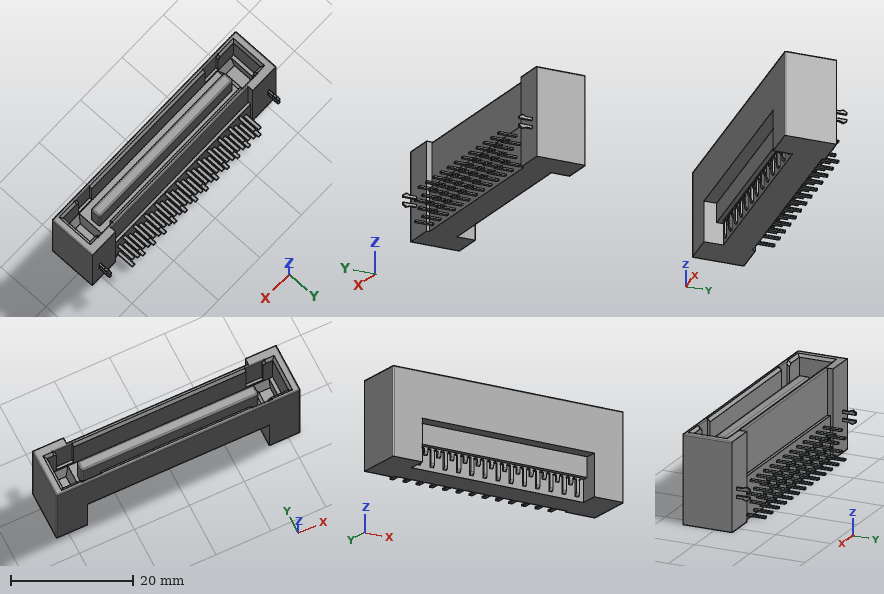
import cadquery as cq

LENGTH = 44.35
DEPTH = 9.0
HEIGHT = 15.8
EDGE_FILLET = 0.2
HALF_LENGTH = LENGTH / 2

CAVITY_END_WALL = 1.65
CAVITY_FRONT = 1.0
CAVITY_REAR = 7.0
CAVITY_FLOOR = 9.2
MOUTH_LEAD_IN = 0.5
CAVITY_HALF_LENGTH = HALF_LENGTH - CAVITY_END_WALL

LUG_LENGTH = 5.65
REAR_BLOCK_BACK = 8.5
REAR_WALL_BACK = 8.0
REAR_LEDGE = 7.6
SPAN = LENGTH - 2 * LUG_LENGTH

NOTCH_TOP = 7.6
NOTCH_DEPTH = 2.2
STEP_TOP = 4.0
STEP_DEPTH = 3.35

KEY_FLOOR = 9.65
KEY_LENGTH = 3.1
KEY_DEPTH = MOUTH_LEAD_IN
KEY_RIM_FILLET = 0.15
KEY_TAPER = 0.5
REAR_KEY_OUTER = 18.8
FRONT_KEY_OUTER = 16.8

POCKET_OUTER = 19.85
POCKET_INNER = 16.7
POCKET_DEPTH = 1.35
POCKET_BASE_OUTER = 19.6
POCKET_BASE_INNER = 17.55
POCKET_BASE_FRONT = 2.1
POCKET_BASE_REAR = 6.0

TONGUE_LENGTH = 32.2
TONGUE_FRONT = 3.05
TONGUE_REAR = 5.0
TONGUE_TOP = 13.95
TONGUE_FILLET = 0.3

LONG_COLUMNS = 13
COLUMNS = 2 * LONG_COLUMNS - 1
PIN_SPAN = 30.45
COLUMN_PITCH = PIN_SPAN / (COLUMNS - 1)
PIN_WIDTH = 0.6
PIN_THICKNESS = 0.25
PIN_TIP = 11.8
PIN_FRONT = 3.0
PIN_BEND = 0.65
ROW_PITCH = 1.85
FIRST_ROW = 0.65
SHOULDER_WIDTH = 1.0
SHOULDER_HEIGHT = 0.3

CLIP_X = 20.35
CLIP_WIDTH = 0.4
CLIP_AXIS = 6.4
CLIP_LENGTH = 2.4
CLIP_BUMP_START = 1.1
CLIP_BUMP_PEAK = 1.8
CLIP_HALF_GAP = 0.5
CLIP_HALF_HEIGHT = 0.95
CLIP_HALF_BUMP = 1.2
CLIP_HALF_TIP = 0.8

EMBED = 0.45


def block(x0, x1, y0, y1, z0, z1):
    return cq.Workplane("XY").box(x1 - x0, y1 - y0, z1 - z0, centered=False).translate((x0, y0, z0))


def centred_block(length, y0, y1, z0, z1):
    return block(-length / 2, length / 2, y0, y1, z0, z1)


def both_ends(shape):
    return shape.union(shape.mirror("YZ"))


def loft(first, second):
    """Solid with straight sides between two closed outlines of (x, y, z) points."""
    wires = [cq.Wire.makePolygon([cq.Vector(*p) for p in outline], close=True) for outline in (first, second)]
    return cq.Workplane(cq.Solid.makeLoft(wires, True))


def level_rectangle(x0, x1, y0, y1, z):
    return [(x0, y0, z), (x1, y0, z), (x1, y1, z), (x0, y1, z)]


def housing_shell():
    body = centred_block(LENGTH, 0, DEPTH, 0, HEIGHT)
    body = body.faces("<Y").edges("|Z").fillet(EDGE_FILLET)
    return body.faces(">Z").edges("not >Y").fillet(EDGE_FILLET)


def cavity():
    pit = centred_block(2 * CAVITY_HALF_LENGTH, CAVITY_FRONT, CAVITY_REAR, CAVITY_FLOOR, HEIGHT)
    inner = level_rectangle(-CAVITY_HALF_LENGTH, CAVITY_HALF_LENGTH, CAVITY_FRONT, CAVITY_REAR,
                            HEIGHT - MOUTH_LEAD_IN)
    outer = level_rectangle(-CAVITY_HALF_LENGTH - MOUTH_LEAD_IN, CAVITY_HALF_LENGTH + MOUTH_LEAD_IN,
                            CAVITY_FRONT - MOUTH_LEAD_IN, CAVITY_REAR + MOUTH_LEAD_IN, HEIGHT)
    return pit.union(loft(inner, outer))


def key_taper(outer, wall, deep):
    """Triangular prism that breaks the outer top corner of a recess, rising at the slope of the mouth."""
    def triangle(y, top):
        return [(outer, y, top - KEY_TAPER), (outer + KEY_TAPER, y, top), (outer, y, top)]

    return loft(triangle(wall, HEIGHT - MOUTH_LEAD_IN), triangle(deep, HEIGHT))


def key_recess(outer, wall, outward):
    """Recess in a long wall with a rounded top rim; outward is the Y sign pointing into the wall."""
    deep = wall + outward * KEY_DEPTH
    rim = deep + outward * KEY_RIM_FILLET
    ys = sorted((wall, deep))
    recess = block(outer - KEY_LENGTH, outer, ys[0], ys[1], KEY_FLOOR, HEIGHT)
    rounded_rim = (
        cq.Workplane("YZ", origin=(outer - KEY_LENGTH, 0, 0))
        .moveTo(deep, HEIGHT - KEY_RIM_FILLET)
        .radiusArc((rim, HEIGHT), outward * KEY_RIM_FILLET)
        .lineTo(wall, HEIGHT)
        .close()
        .extrude(KEY_LENGTH + KEY_TAPER)
    )
    return recess.union(rounded_rim).union(key_taper(outer, wall, deep))


def floor_pocket():
    base = level_rectangle(POCKET_BASE_INNER, POCKET_BASE_OUTER, POCKET_BASE_FRONT, POCKET_BASE_REAR,
                           CAVITY_FLOOR - POCKET_DEPTH)
    rim = level_rectangle(POCKET_INNER, POCKET_OUTER, CAVITY_FRONT, CAVITY_REAR, CAVITY_FLOOR)
    return loft(base, rim)


def rear_relief():
    relief = centred_block(SPAN, REAR_BLOCK_BACK, DEPTH, 0, HEIGHT)
    return relief.union(centred_block(SPAN, REAR_WALL_BACK, DEPTH, REAR_LEDGE, HEIGHT))


def front_notch():
    notch = centred_block(SPAN, 0, NOTCH_DEPTH, 0, NOTCH_TOP)
    return notch.union(centred_block(SPAN, 0, STEP_DEPTH, 0, STEP_TOP))


def tongue():
    blade = centred_block(TONGUE_LENGTH, TONGUE_FRONT, TONGUE_REAR, CAVITY_FLOOR - EMBED, TONGUE_TOP)
    return blade.edges("|Z or >Z").fillet(TONGUE_FILLET)


def bent_pin(x, row):
    """Front leg dropping from the overhang, bent back through the block."""
    z0 = FIRST_ROW + row * ROW_PITCH
    profile = (
        cq.Workplane("YZ", origin=(x - PIN_WIDTH / 2, 0, 0))
        .moveTo(PIN_FRONT, STEP_TOP)
        .lineTo(PIN_FRONT, z0 + PIN_BEND)
        .radiusArc((PIN_FRONT + PIN_BEND, z0), -PIN_BEND)
        .lineTo(PIN_TIP, z0)
        .lineTo(PIN_TIP, z0 + PIN_THICKNESS)
        .lineTo(STEP_DEPTH + EMBED, z0 + PIN_THICKNESS)
        .lineTo(STEP_DEPTH + EMBED, STEP_TOP)
        .close()
    )
    return profile.extrude(PIN_WIDTH)


def straight_pin(x, row):
    z0 = FIRST_ROW + row * ROW_PITCH
    return block(x - PIN_WIDTH / 2, x + PIN_WIDTH / 2, REAR_BLOCK_BACK - EMBED, PIN_TIP,
                 z0, z0 + PIN_THICKNESS)


def pin_shoulder(x):
    return block(x - SHOULDER_WIDTH / 2, x + SHOULDER_WIDTH / 2, PIN_FRONT, STEP_DEPTH,
                 STEP_TOP - SHOULDER_HEIGHT, STEP_TOP)


def contact_pins():
    pieces = []
    for i in range(COLUMNS):
        x = (i - (COLUMNS - 1) / 2) * COLUMN_PITCH
        row = i % 2
        pieces += [bent_pin(x, row), straight_pin(x, row + 2), pin_shoulder(x)]
    return pieces


def clip_prong(side):
    outline = [
        (-EMBED, CLIP_HALF_GAP), (-EMBED, CLIP_HALF_HEIGHT), (CLIP_BUMP_START, CLIP_HALF_HEIGHT),
        (CLIP_BUMP_PEAK, CLIP_HALF_BUMP), (CLIP_LENGTH, CLIP_HALF_TIP), (CLIP_LENGTH, CLIP_HALF_GAP),
    ]
    points = [(DEPTH + y, CLIP_AXIS + side * z) for y, z in outline]
    prong = cq.Workplane("YZ", origin=(CLIP_X - CLIP_WIDTH / 2, 0, 0)).polyline(points).close()
    return prong.extrude(CLIP_WIDTH)


result = housing_shell().cut(rear_relief())
rear_wall_edge = cq.selectors.NearestToPointSelector((0, REAR_WALL_BACK, HEIGHT))
result = result.edges(rear_wall_edge).fillet(EDGE_FILLET)
result = result.cut(cavity()).cut(front_notch())
result = result.cut(both_ends(floor_pocket()))
result = result.cut(both_ends(key_recess(REAR_KEY_OUTER, CAVITY_REAR, 1)))
result = result.cut(both_ends(key_recess(FRONT_KEY_OUTER, CAVITY_FRONT, -1)))
result = result.union(tongue())
for piece in contact_pins():
    result = result.union(piece)
for side in (-1, 1):
    result = result.union(both_ends(clip_prong(side)))